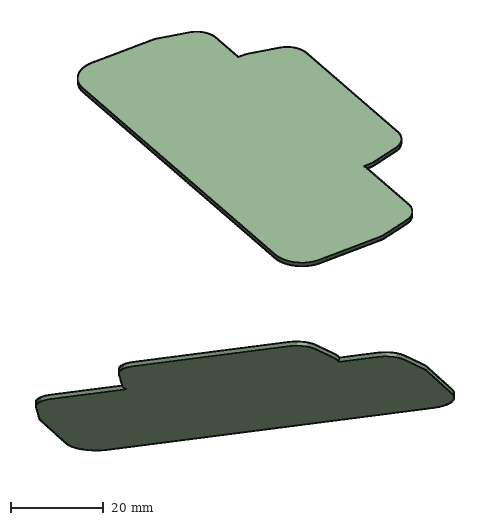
import cadquery as cq
import math

base_width = 89.04
total_height = 47.62
thickness = 1.0
shoulder_height = 34.5
upper_width = 49.3
upper_offset = -4.25
base_knee_height = 23.2
upper_knee_height = 36.5
lean_angle = 15.0
bottom_corner_radius = 7.0
blend_radius = 5.0

half_base = base_width / 2
half_upper = upper_width / 2
lean_slope = math.tan(math.radians(lean_angle))
half_shoulder = half_base - (shoulder_height - base_knee_height) * lean_slope
half_top = half_upper - (total_height - upper_knee_height) * lean_slope


def side_outline(side):
    """Sharp-cornered outline of one side, bottom to top; side is +1 (right) or -1 (left)."""
    return [
        (side * half_base, 0),
        (side * half_base, base_knee_height),
        (side * half_shoulder, shoulder_height),
        (upper_offset + side * half_upper, shoulder_height),
        (upper_offset + side * half_upper, upper_knee_height),
        (upper_offset + side * half_top, total_height),
    ]


def sharp_plate():
    """Stepped plate with all its corners still sharp."""
    outline = side_outline(1) + side_outline(-1)[::-1]
    return cq.Workplane("XY").polyline(outline).close().extrude(thickness)


def round_side(plate, side):
    """Round the upright edges of one side; the inner shoulder corner stays sharp."""
    bottom, base_knee, shoulder, _, upper_knee, top = side_outline(side)
    rounded_corners = [
        (bottom, bottom_corner_radius),
        (base_knee, blend_radius),
        (shoulder, blend_radius),
        (upper_knee, blend_radius),
        (top, blend_radius),
    ]
    for (x, y), radius in rounded_corners:
        nearest = cq.selectors.NearestToPointSelector((x, y, thickness / 2))
        plate = plate.edges("|Z").edges(nearest).fillet(radius)
    return plate


result = sharp_plate()
for plate_side in (1, -1):
    result = round_side(result, plate_side)